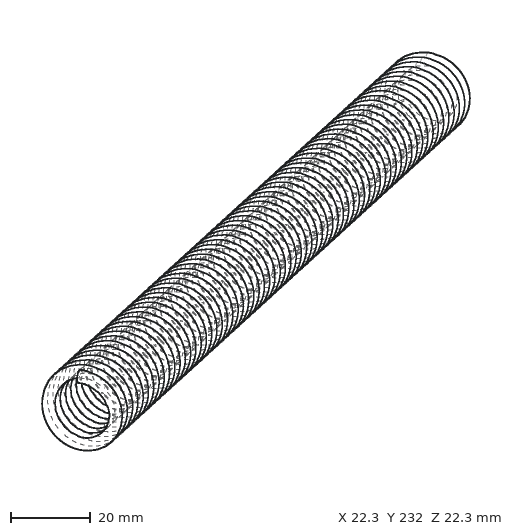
import cadquery as cq


outer_diameter = 22.3
total_length = 232.0
full_turns = 66
extra_angle = 243.0
coil_gap = 0.02

turns = full_turns + extra_angle / 360
wire_diameter = (total_length - turns * coil_gap) / (turns + 1)
pitch = wire_diameter + coil_gap
winding_length = turns * pitch
coil_radius = (outer_diameter - wire_diameter) / 2


def coil_path():
    """Helix about the Z axis from +X on the XY plane, one edge for each turn."""
    turn_path = cq.Wire.makeHelix(pitch, pitch, coil_radius)
    last_path = cq.Wire.makeHelix(pitch, pitch * extra_angle / 360, coil_radius)
    paths = [turn_path.moved(cq.Location((0, 0, turn * pitch))) for turn in range(full_turns)]
    paths.append(last_path.moved(cq.Location((0, 0, full_turns * pitch))))
    return cq.Wire.combine([edge for path in paths for edge in path.Edges()])[0]


def wound_wire():
    """Round wire swept along the coil path from a section square to its start."""
    path = coil_path()
    start = cq.Plane(origin=(coil_radius, 0, 0), xDir=(1, 0, 0), normal=path.tangentAt(0))
    section = cq.Workplane(start).circle(wire_diameter / 2)
    return section.sweep(cq.Workplane(obj=path), isFrenet=True)


result = (
    wound_wire()
    .rotate((0, 0, 0), (0, 0, 1), -90)
    .rotate((0, 0, 0), (1, 0, 0), -90)
    .translate((0, -winding_length / 2, 0))
)